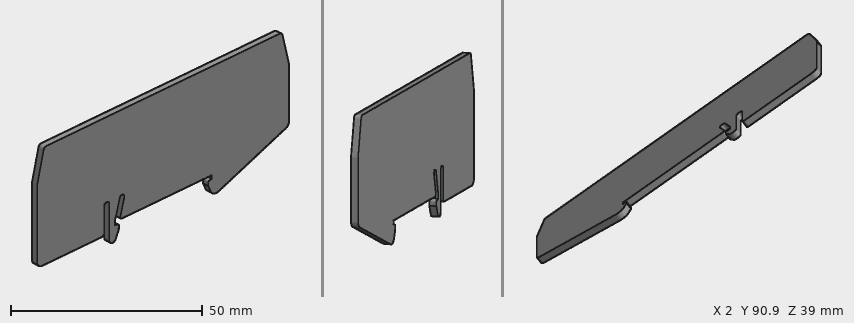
import cadquery as cq
import math

LENGTH = 90.9
HEIGHT = 39.0
THICKNESS = 2.0

SHOULDER_INSET = 2.5
SHOULDER_Z = 28.4

SLOPE_START_Z = 9.9
SLOPE_ANGLE = 21.0

RECESS_Z = 6.0
RECESS_START = 28.0
RECESS_END = 61.1
HOOK_REACH = 1.2
HOOK_ROOT_Z = 5.0
HOOK_TOP_Z = 4.6
HOOK_SIDE_Z = 3.3
HOOK_TAPER = 0.44

LATCH_ROOT = 62.5
LATCH_BACK = 64.8
LATCH_KNEE_Z = 6.45
SLOT_WIDTH = 1.9
SLOT_TOP_Z = 13.2
LEAN_ANGLE = 15.0
LEAN_SLOT_WIDTH = 1.7
BASE_Z = 3.3

SHOULDER_RADIUS = 1.1
OUTER_RADIUS = 1.8
FOOT_RADIUS = 2.2
LATCH_TIP_RADIUS = 1.1
SLOT_MOUTH_RADIUS = 0.8
RECESS_CORNER_RADIUS = 0.5
HOOK_RADIUS = 0.4

slope = math.tan(math.radians(SLOPE_ANGLE))
lean = math.radians(LEAN_ANGLE)

foot_hook = RECESS_START + HOOK_REACH
foot_tip_z = (SLOPE_START_Z - slope * (foot_hook - HOOK_TAPER * HOOK_SIDE_Z)) / (1 + slope * HOOK_TAPER)
foot_tip = (foot_hook - HOOK_TAPER * (HOOK_SIDE_Z - foot_tip_z), foot_tip_z)

latch_hook = LATCH_ROOT - HOOK_REACH
latch_tip = (latch_hook + HOOK_TAPER * HOOK_SIDE_Z, 0)

lean_radius = LEAN_SLOT_WIDTH / 2
lean_center_z = SLOT_TOP_Z - lean_radius
lean_center = (
    RECESS_END - (lean_center_z - RECESS_Z) * math.tan(lean) + lean_radius / math.cos(lean),
    lean_center_z,
)


def lean_slot_point(across, along):
    """Point offset from the leaning slot's end centre, across and along the slot."""
    return (
        lean_center[0] + across * math.cos(lean) - along * math.sin(lean),
        lean_center[1] + across * math.sin(lean) + along * math.cos(lean),
    )


lean_near = lean_slot_point(-lean_radius, 0)
lean_end = lean_slot_point(0, lean_radius)
lean_far = lean_slot_point(lean_radius, 0)
latch_knee = (lean_far[0] + (lean_far[1] - LATCH_KNEE_Z) * math.tan(lean), LATCH_KNEE_Z)

slot_far = LATCH_BACK + SLOT_WIDTH
slot_spring_z = SLOT_TOP_Z - SLOT_WIDTH / 2

top_start = (SHOULDER_INSET, HEIGHT)
top_end = (LENGTH - SHOULDER_INSET, HEIGHT)
shoulder_start = (0, SHOULDER_Z)
shoulder_end = (LENGTH, SHOULDER_Z)
slope_start = (0, SLOPE_START_Z)
foot_hook_top = (foot_hook, HOOK_TOP_Z)
recess_end = (RECESS_END, RECESS_Z)
latch_hook_top = (latch_hook, HOOK_TOP_Z)
latch_back_tip = (LATCH_BACK, 0)
slot_mouth = (slot_far, BASE_Z)
base_end = (LENGTH, BASE_Z)


def place(point):
    """Convert an outline point to plate coordinates, centred along Y."""
    return (LENGTH / 2 - point[0], point[1] - HEIGHT / 2)


def add_lines(sketch, points):
    for point in points:
        sketch = sketch.lineTo(*place(point))
    return sketch


def make_blank():
    outline = cq.Workplane("YZ").moveTo(*place(top_start))
    outline = add_lines(outline, [
        shoulder_start,
        slope_start,
        foot_tip,
        (foot_hook, HOOK_SIDE_Z),
        foot_hook_top,
        (RECESS_START, HOOK_ROOT_Z),
        (RECESS_START, RECESS_Z),
        recess_end,
        lean_near,
    ])
    outline = outline.threePointArc(place(lean_end), place(lean_far))
    outline = add_lines(outline, [
        latch_knee,
        (latch_knee[0], HOOK_ROOT_Z),
        latch_hook_top,
        (latch_hook, HOOK_SIDE_Z),
        latch_tip,
        latch_back_tip,
        (LATCH_BACK, slot_spring_z),
    ])
    slot_end = (LATCH_BACK + SLOT_WIDTH / 2, SLOT_TOP_Z)
    outline = outline.threePointArc(place(slot_end), place((slot_far, slot_spring_z)))
    outline = add_lines(outline, [slot_mouth, base_end, shoulder_end, top_end])
    return outline.close().extrude(THICKNESS / 2, both=True)


def round_corners(body, corners, radius):
    """Fillet the through-thickness edges at the given outline corners."""
    for corner in corners:
        y, z = place(corner)
        edge = cq.selectors.NearestToPointSelector((0, y, z))
        body = body.edges("|X").edges(edge).fillet(radius)
    return body


result = make_blank()
result = round_corners(result, [top_start, top_end, shoulder_start, shoulder_end], SHOULDER_RADIUS)
result = round_corners(result, [slope_start, base_end], OUTER_RADIUS)
result = round_corners(result, [foot_tip], FOOT_RADIUS)
result = round_corners(result, [latch_tip, latch_back_tip], LATCH_TIP_RADIUS)
result = round_corners(result, [slot_mouth], SLOT_MOUTH_RADIUS)
result = round_corners(result, [recess_end], RECESS_CORNER_RADIUS)
result = round_corners(result, [foot_hook_top, latch_hook_top], HOOK_RADIUS)